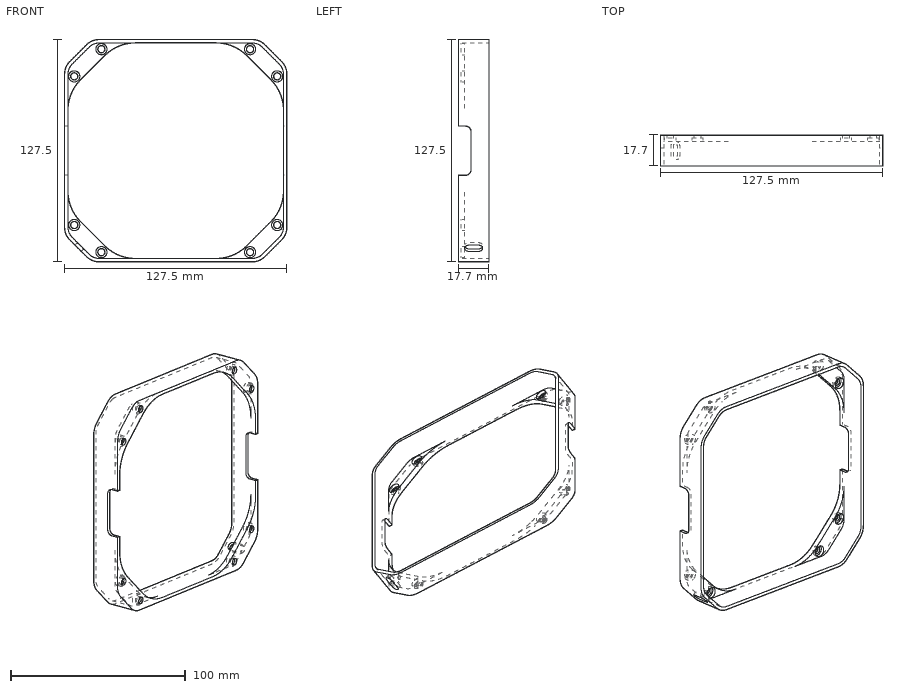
import cadquery as cq
import math

side = 127.5
depth = 17.7
wall = 2.0
corner_cut = 15.7
corner_radius = 10.0

flange_thickness = 3.6
flange_corner_cut = 32.4
opening_radius = 24.7

hole_near = 42.6
hole_far = 58.1
hole_diameter = 4.0
bore_diameter = 6.4
bore_depth = 2.0

notch_length = 28.0
notch_depth = 7.3
notch_radius = 3.0

window_width = 10.3
window_height = 5.1
window_reach = 2.5

front_y = -depth / 2
back_y = depth / 2
flange_y = back_y - flange_thickness
inner_side = side - 2 * wall
offset_cut_change = wall * (2 - math.sqrt(2))


def octagon(size, cut, radius, start_y, end_y):
    """Square prism along Y with 45 degree corners and rounded edges."""
    block = cq.Workplane("XY").box(size, end_y - start_y, size).edges("|Y").chamfer(cut)
    return block.edges("|Y").fillet(radius).translate((0, (start_y + end_y) / 2, 0))


def frame():
    body = octagon(side, corner_cut, corner_radius, front_y, back_y)
    cavity = octagon(inner_side, corner_cut - offset_cut_change, corner_radius - wall, front_y, flange_y)
    opening = octagon(inner_side, flange_corner_cut - 2 * wall, opening_radius, front_y, back_y)
    return body.cut(cavity).cut(opening)


def screw_holes():
    points = []
    for sx in (-1, 1):
        for sz in (-1, 1):
            points.append((sx * hole_near, sz * hole_far))
            points.append((sx * hole_far, sz * hole_near))
    start = cq.Workplane("XZ", origin=(0, flange_y, 0)).pushPoints(points)
    shafts = start.circle(hole_diameter / 2).extrude(-flange_thickness)
    bores = start.circle(bore_diameter / 2).extrude(-bore_depth)
    return shafts.union(bores)


def side_notches():
    bar = cq.Workplane("XY").box(side, 2 * notch_depth, notch_length)
    return bar.edges("|X and <Y").fillet(notch_radius).translate((0, back_y, 0))


def connector_window():
    middle = side / 2 - corner_cut / 2
    plane = cq.Plane(origin=(-middle, 0, -middle), xDir=(0, 1, 0), normal=(-1, 0, -1))
    return cq.Workplane(plane).slot2D(window_width, window_height).extrude(-window_reach)


result = frame().cut(screw_holes()).cut(side_notches()).cut(connector_window())